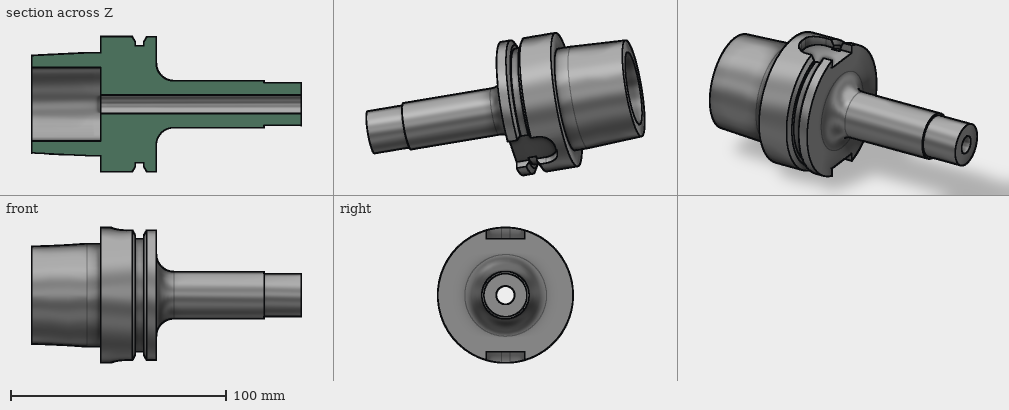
import cadquery as cq
import math

taper_length = 32.0
relief_length = 6.3
flange_length = 26.0
shank_step_x = 76.0
nose_x = 93.3

flange_dia = 63.0
taper_large_dia = 48.0
taper_ratio = 1 / 10
shank_dia = 22.0
nose_dia = 20.0
bore_dia = 34.0
coolant_dia = 8.4

neck_fillet = 8.0

groove_center_x = 18.125
groove_floor_width = 3.75
groove_floor_dia = 54.6
groove_mouth_width = 6.6
groove_flank_angle = 30.0

slot_width = 17.8
slot_length = 21.0
slot_corner_radius = 7.0
slot_floor_z = 26.3


def body():
    """Revolved outside of the holder: taper, flange, filleted neck, shank and nose."""
    cone_length = taper_length - relief_length
    taper_large_r = taper_large_dia / 2
    taper_small_r = taper_large_r - cone_length * taper_ratio / 2
    flange_r = flange_dia / 2
    shank_r = shank_dia / 2
    nose_r = nose_dia / 2
    arc_offset = neck_fillet * (1 - math.sqrt(0.5))
    return (
        cq.Workplane("XY")
        .moveTo(-taper_length, 0)
        .lineTo(-taper_length, taper_small_r)
        .lineTo(-relief_length, taper_large_r)
        .lineTo(0, taper_large_r)
        .lineTo(0, flange_r)
        .lineTo(flange_length, flange_r)
        .lineTo(flange_length, shank_r + neck_fillet)
        .threePointArc(
            (flange_length + arc_offset, shank_r + arc_offset),
            (flange_length + neck_fillet, shank_r),
        )
        .lineTo(shank_step_x, shank_r)
        .lineTo(shank_step_x, nose_r)
        .lineTo(nose_x, nose_r)
        .lineTo(nose_x, 0)
        .close()
        .revolve(360, (0, 0, 0), (1, 0, 0))
    )


def gripper_groove():
    """Ring cut from the flange: a straight-walled floor that flares out to the rim."""
    floor_r = groove_floor_dia / 2
    rim_r = flange_dia / 2
    half_floor = groove_floor_width / 2
    half_mouth = groove_mouth_width / 2
    flare_depth = (half_mouth - half_floor) / math.tan(math.radians(groove_flank_angle))
    flare_r = rim_r - flare_depth
    return (
        cq.Workplane("XY")
        .moveTo(groove_center_x - half_floor, floor_r)
        .lineTo(groove_center_x - half_floor, flare_r)
        .lineTo(groove_center_x - half_mouth, rim_r)
        .lineTo(groove_center_x + half_mouth, rim_r)
        .lineTo(groove_center_x + half_floor, flare_r)
        .lineTo(groove_center_x + half_floor, floor_r)
        .close()
        .revolve(360, (0, 0, 0), (1, 0, 0))
    )


def drive_slot():
    """Flat-floored slot in the top of the flange, open toward the shank, with rounded blind corners."""
    slot_depth = flange_dia / 2 - slot_floor_z
    return (
        cq.Workplane("XY")
        .box(slot_length, slot_width, slot_depth, centered=(False, True, False))
        .edges("|Z and <X")
        .fillet(slot_corner_radius)
        .translate((flange_length - slot_length, 0, slot_floor_z))
    )


def axial_hole(diameter, length):
    """Round hole along the axis, starting at the small end of the taper."""
    return cq.Workplane("YZ", origin=(-taper_length, 0, 0)).circle(diameter / 2).extrude(length)


result = body().cut(gripper_groove())
for turn in (0, 180):
    result = result.cut(drive_slot().rotate((0, 0, 0), (1, 0, 0), turn))
result = result.cut(axial_hole(bore_dia, taper_length))
result = result.cut(axial_hole(coolant_dia, taper_length + nose_x))